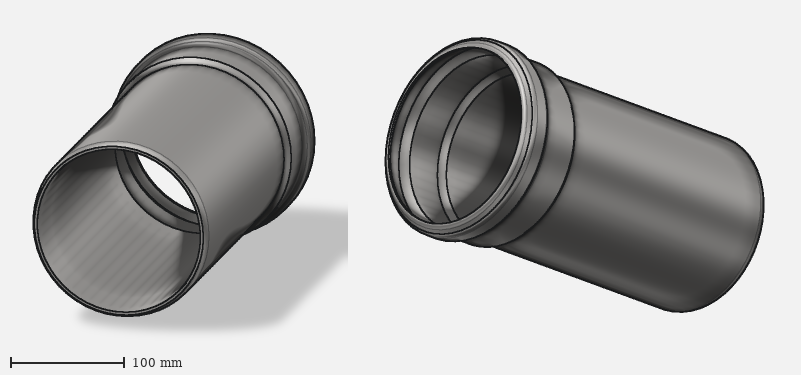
import cadquery as cq
import math

total_length = 314.8
pipe_radius = 160.5 / 2
bore_radius = 149.4 / 2
nose_length = 7.3
nose_tip_radius = 77.4

sleeve_outer_radius = 170.4 / 2
sleeve_inner_radius = pipe_radius
sleeve_depth = 63.0
step_length = 5.6

bead_radius = 181.9 / 2
groove_radius = 174.0 / 2
bead_front_depth = 9.1
bead_rear_depth = 20.5
bead_shoulder_length = 8.8
bead_crest_share = 0.42

mouth_outer_radius = 80.5
lip_depth = 1.9
cone_depth = 5.2

ALONG_AXIS = 90
ALONG_MOUTH_CONE = 135


def arc_between(profile, start, end, start_angle):
    """Add an arc from start to end that leaves start in the given direction."""
    chord_angle = math.atan2(end[1] - start[1], end[0] - start[0])
    half_turn = chord_angle - math.radians(start_angle)
    sagitta = math.dist(start, end) / 2 * math.tan(half_turn / 2)
    middle = (
        (start[0] + end[0]) / 2 + sagitta * math.sin(chord_angle),
        (start[1] + end[1]) / 2 - sagitta * math.cos(chord_angle),
    )
    return profile.threePointArc(middle, end)


def chord_end_angle(rise, run):
    """Direction at the far end of an arc on this chord that is parallel to the axis at its other end."""
    return 2 * math.degrees(math.atan2(rise, run)) - ALONG_AXIS


def revolved(profile):
    """Turn a closed half-section around the Y axis."""
    return profile.close().revolve(360, (0, 0), (0, 1))


def outer_body():
    """Solid of revolution bounded by the outside of the pipe, sleeve and bead."""
    nose_tip = (nose_tip_radius, 0)
    nose_end = (pipe_radius, nose_length)
    nose_angle = chord_end_angle(nose_length, pipe_radius - nose_tip_radius)
    profile = cq.Workplane("XY").lineTo(*nose_tip)
    profile = arc_between(profile, nose_tip, nose_end, nose_angle)

    sleeve_start = total_length - sleeve_depth
    bead_rear = total_length - bead_rear_depth
    shoulder_foot = (sleeve_outer_radius, bead_rear - bead_shoulder_length)
    profile = (
        profile
        .lineTo(pipe_radius, sleeve_start - step_length)
        .lineTo(sleeve_outer_radius, sleeve_start)
        .lineTo(*shoulder_foot)
    )

    shoulder_height = bead_radius - sleeve_outer_radius
    shoulder_middle = (
        bead_radius - bead_crest_share * shoulder_height,
        bead_rear - bead_crest_share * bead_shoulder_length,
    )
    shoulder_angle = chord_end_angle(bead_shoulder_length, shoulder_height)
    profile = arc_between(profile, shoulder_foot, shoulder_middle, ALONG_AXIS)
    profile = arc_between(profile, shoulder_middle, (bead_radius, bead_rear), shoulder_angle)

    bead_front = (bead_radius, total_length - bead_front_depth)
    lip_start_radius = mouth_outer_radius + lip_depth * (1 + math.sqrt(2))
    lip_start = (lip_start_radius, total_length - lip_depth)
    cone_start = (lip_start_radius + cone_depth - lip_depth, total_length - cone_depth)
    profile = profile.lineTo(*bead_front)
    profile = arc_between(profile, bead_front, cone_start, ALONG_AXIS)
    profile = profile.lineTo(*lip_start)
    profile = arc_between(profile, lip_start, (mouth_outer_radius, total_length), ALONG_MOUTH_CONE)
    return revolved(profile.lineTo(0, total_length))


def inner_space():
    """Solid of revolution filling the bore, the socket and the seal groove."""
    socket_floor = total_length - sleeve_depth
    groove_rear = total_length - bead_rear_depth
    groove_front = total_length - bead_front_depth
    groove_depth = groove_radius - sleeve_inner_radius
    profile = (
        cq.Workplane("XY")
        .lineTo(bore_radius, 0)
        .lineTo(bore_radius, socket_floor - step_length)
        .lineTo(sleeve_inner_radius, socket_floor)
        .lineTo(sleeve_inner_radius, groove_rear - groove_depth)
        .lineTo(groove_radius, groove_rear)
        .lineTo(groove_radius, groove_front)
        .lineTo(sleeve_inner_radius, groove_front + groove_depth)
        .lineTo(sleeve_inner_radius, total_length)
        .lineTo(0, total_length)
    )
    return revolved(profile)


result = outer_body().cut(inner_space())